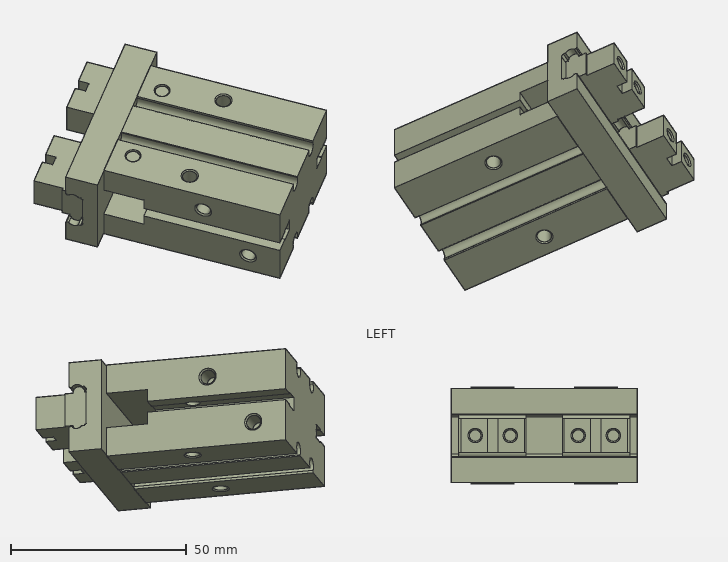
import cadquery as cq
import math


overall_length = 73.0
block_width = 41.75
block_height = 27.5
centre_step = 0.4
step_half_width = 8.6

rail_front_x = 10.5
rail_back_x = 20.1
rail_width = 53.0
rail_height = 26.9

window_length = 12.05
window_height = 10.4

guide_half_height = 5.9
guide_floor_x = 15.6
guide_mouth_chamfer = 0.3
guide_floor_chamfer = 0.65

slot_mouth_width = 3.35
slot_channel_diameter = 4.0
slot_channel_radius = slot_channel_diameter / 2
channel_offset = math.sqrt(slot_channel_radius**2 - (slot_mouth_width / 2) ** 2)
face_slot_y = step_half_width - slot_mouth_width / 2
face_slot_lip = 0.7

side_slot_mouth_width = 3.3
side_slot_lip = 4.45
side_slot_channel_width = 4.0
side_slot_depth = 8.75

through_x = 43.95
through_y = 15.05
through_diameter = 4.15
through_rim_diameter = 4.9
spot_x = 26.2
spot_y = 13.0
spot_diameter = 3.95
spot_rim_diameter = 4.5
spot_depth = 0.45

port_places = [(49.9, 7.45), (63.45, -7.45)]
port_diameter = 4.15
port_rim_diameter = 5.05
port_depth = 7.0
bleed_diameter = 0.5
bleed_depth = 1.45

jaw_height = 9.8
jaw_back_x = 15.25
jaw_centre_y = 14.7
finger_width = 18.0
finger_length = 8.75
shoulder_outer = 0.7
shoulder_inner = 0.5
bead_x = 12.85
bead_radius = 1.75
notch_width = 3.0
notch_depth = 3.15
jaw_hole_pitch = 10.0
jaw_hole_diameter = 3.3
jaw_hole_rim_diameter = 4.1
jaw_hole_depth = 7.3


def span_box(x_range, y_range, z_range):
    """Box between the given lower and upper limits."""
    sizes = [high - low for low, high in (x_range, y_range, z_range)]
    return cq.Workplane("XY").box(*sizes, centered=False).translate((x_range[0], y_range[0], z_range[0]))


def rod_along_y(x, z, radius, y_low, y_high):
    """Round bar parallel to Y."""
    start = cq.Vector(x, y_low, z)
    return cq.Workplane(cq.Solid.makeCylinder(radius, y_high - y_low, start, cq.Vector(0, 1, 0)))


def hole_cutter(mouth, direction, diameter, rim_diameter, depth):
    """Flat-bottomed hole going from a mouth point in a direction, with a 45 degree rim chamfer."""
    start = cq.Vector(*mouth)
    axis = cq.Vector(*direction)
    radius = diameter / 2
    rim_radius = rim_diameter / 2
    bore = cq.Solid.makeCylinder(radius, depth, start, axis)
    rim = cq.Solid.makeCone(rim_radius, radius, rim_radius - radius, start, axis)
    return cq.Workplane(bore).union(cq.Workplane(rim))


def keyhole_slot():
    """Keyhole slot along the whole block, cut down into the top face at Y = 0."""
    channel_z = block_height / 2 - face_slot_lip - channel_offset
    half_mouth = slot_mouth_width / 2
    mouth = span_box((rail_back_x, overall_length), (-half_mouth, half_mouth), (channel_z, block_height / 2))
    channel = cq.Workplane("YZ", origin=(rail_back_x, 0, channel_z)).circle(slot_channel_radius)
    return mouth.union(channel.extrude(overall_length - rail_back_x))


def side_slot():
    """T-shaped slot along the whole block, cut into the -Y side."""
    face_y = -block_width / 2
    half_mouth = side_slot_mouth_width / 2
    half_channel = side_slot_channel_width / 2
    x_range = (rail_back_x, overall_length)
    channel_range = (face_y + side_slot_lip, face_y + side_slot_depth)
    mouth = span_box(x_range, (face_y, face_y + side_slot_lip), (-half_mouth, half_mouth))
    return mouth.union(span_box(x_range, channel_range, (-half_channel, half_channel)))


def make_block():
    """Block with lowered middle lands and the window behind the rail."""
    half_width = block_width / 2
    half_height = block_height / 2
    body = span_box((rail_back_x, overall_length), (-half_width, half_width), (-half_height, half_height))
    land_half_height = half_height - centre_step
    for low, high in ((land_half_height, half_height), (-half_height, -land_half_height)):
        land = span_box((rail_back_x, overall_length), (-step_half_width, step_half_width), (low, high))
        body = body.cut(land)
    window = span_box((rail_back_x, rail_back_x + window_length), (-half_width, half_width),
                      (-window_height / 2, window_height / 2))
    return body.cut(window)


def cut_slots(body):
    """Two keyhole slots in each of the top and bottom faces and a T-shaped slot in each side."""
    upper_slot = keyhole_slot()
    for y in (-face_slot_y, face_slot_y):
        for slot in (upper_slot, upper_slot.mirror("XY")):
            body = body.cut(slot.translate((0, y, 0)))
    near_slot = side_slot()
    for slot in (near_slot, near_slot.mirror("XZ")):
        body = body.cut(slot)
    return body


def cut_housing_holes(body):
    """Vertical through holes, shallow spots in the top face, and air ports in the -Y side."""
    top_z = block_height / 2
    down = (0, 0, -1)
    up = (0, 0, 1)
    into_side = (0, 1, 0)
    for side in (-1, 1):
        for end_z, direction in ((top_z, down), (-top_z, up)):
            mouth = (through_x, side * through_y, end_z)
            body = body.cut(hole_cutter(mouth, direction, through_diameter, through_rim_diameter, top_z))
        spot = hole_cutter((spot_x, side * spot_y, top_z), down, spot_diameter, spot_rim_diameter, spot_depth)
        body = body.cut(spot)
    for x, z in port_places:
        mouth = (x, -block_width / 2, z)
        body = body.cut(hole_cutter(mouth, into_side, port_diameter, port_rim_diameter, port_depth))
        bleed = cq.Solid.makeCylinder(bleed_diameter / 2, port_depth + bleed_depth,
                                      cq.Vector(*mouth), cq.Vector(*into_side))
        body = body.cut(cq.Workplane(bleed))
    return body


def make_rail():
    """Cross rail with a guideway that has a round race above and below."""
    half_width = rail_width / 2
    half_height = rail_height / 2
    rail = span_box((rail_front_x, rail_back_x), (-half_width, half_width), (-half_height, half_height))
    upper_outline = [
        (rail_front_x, guide_half_height + guide_mouth_chamfer),
        (rail_front_x + guide_mouth_chamfer, guide_half_height),
        (guide_floor_x - guide_floor_chamfer, guide_half_height),
        (guide_floor_x, guide_half_height - guide_floor_chamfer),
    ]
    lower_outline = [(x, -z) for x, z in reversed(upper_outline)]
    guideway = cq.Workplane("XZ").polyline(upper_outline + lower_outline).close()
    rail = rail.cut(guideway.extrude(half_width, both=True))
    for z in (-jaw_height / 2, jaw_height / 2):
        rail = rail.cut(rod_along_y(bead_x, z, bead_radius, -half_width, half_width))
    return rail


def make_housing():
    """Block and rail as one solid."""
    block = cut_housing_holes(cut_slots(make_block()))
    return block.union(make_rail())


def make_jaw():
    """Jaw on the +Y side: a notched finger on a wider base with a guide bead above and below."""
    half_height = jaw_height / 2
    z_range = (-half_height, half_height)
    finger_inner = jaw_centre_y - finger_width / 2
    finger_outer = jaw_centre_y + finger_width / 2
    base_range = (finger_inner - shoulder_inner, finger_outer + shoulder_outer)
    jaw = span_box((0, finger_length), (finger_inner, finger_outer), z_range)
    jaw = jaw.union(span_box((finger_length, jaw_back_x), base_range, z_range))
    for z in z_range:
        jaw = jaw.union(rod_along_y(bead_x, z, bead_radius, *base_range))
    notch_range = (jaw_centre_y - notch_width / 2, jaw_centre_y + notch_width / 2)
    jaw = jaw.cut(span_box((0, notch_depth), notch_range, z_range))
    for offset in (-jaw_hole_pitch / 2, jaw_hole_pitch / 2):
        mouth = (0, jaw_centre_y + offset, 0)
        hole = hole_cutter(mouth, (1, 0, 0), jaw_hole_diameter, jaw_hole_rim_diameter, jaw_hole_depth)
        jaw = jaw.cut(hole)
    return jaw


housing = make_housing()
upper_y_jaw = make_jaw()
jaws = [upper_y_jaw, upper_y_jaw.mirror("XZ")]

result = cq.Compound.makeCompound([housing.val(), *[jaw.val() for jaw in jaws]])